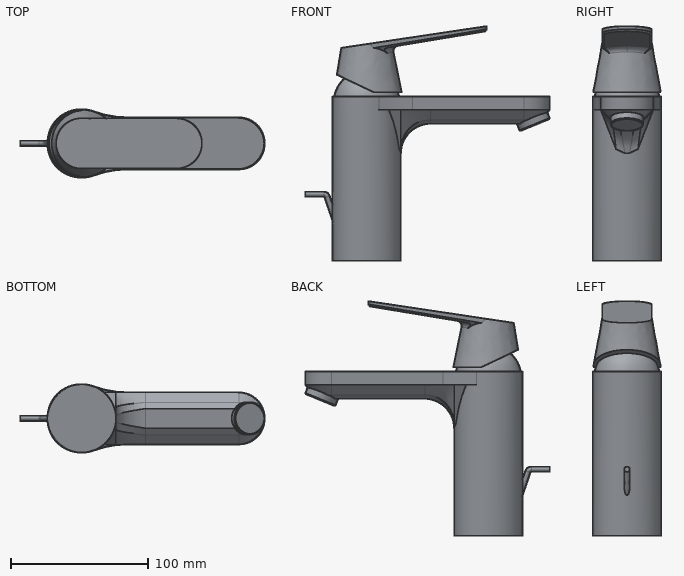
import cadquery as cq
import math


column_dia = 50.0
column_radius = column_dia / 2
column_height = 119.8
rim_chamfer = 0.5
dome_radius = 24.2
dome_center_z = 114.9

total_length = 178.0
rod_tip_x = -44.7
spout_tip_x = total_length + rod_tip_x
spout_half_width = 19.0
spout_end_x = spout_tip_x - spout_half_width
spout_edge_z = 109.9
shoulder_z = 102.8
shoulder_half_width = 12.0
keel_z = 99.7
keel_half_width = 7.1

flare_radius = 70.3
flare_center_y = spout_half_width + flare_radius
flare_center_x = math.sqrt((column_radius + flare_radius) ** 2 - flare_center_y ** 2)
flare_start_x = flare_center_x * column_radius / (column_radius + flare_radius)
flare_start_y = flare_center_y * column_radius / (column_radius + flare_radius)

throat_radius = 21.4
throat_center_x = column_radius + throat_radius
throat_center_z = keel_z - throat_radius
foot_keel_half_width = 1.8
foot_shoulder_half_width = 8.0
throat_steps = 6

aerator_dia = 23.9
aerator_tilt = 22.3
aerator_x = 122.5
aerator_z = 98.8
aerator_length = 10.7
aerator_edge = 0.7

total_height = 171.0
lever_half_width = 18.2
lever_rear_x = -0.5
lever_front_x = 69.5
lever_tip_x = lever_front_x + lever_half_width
lever_slope = 8.5
lever_thickness = 5.2
lever_tip_thickness = 3.7
lever_bevel = 1.5
hub_bottom_z = 122.7
hub_bottom_radius = 24.8
hub_bottom_x = 0.9
hub_top_z = 158.5
hub_top_x = 0.2
hub_top_radius = 18.2
hub_fillet = 3.5
skirt_start_x = 5.3
skirt_slope = 25.3

rod_dia = 4.0
rod_z = 48.5
rod_corner_x = -29.4
rod_bend_radius = 2.5
rod_lean = 18.9
rod_end_z = 25.0


def spout_plate():
    """Upright-sided upper part of the spout, flared tangentially out of the column."""
    flare_mid_x = (flare_start_x + flare_center_x) / 2
    flare_mid_y = flare_center_y - math.sqrt(flare_radius ** 2 - (flare_mid_x - flare_center_x) ** 2)
    return (
        cq.Workplane("XY", origin=(0, 0, spout_edge_z))
        .moveTo(flare_start_x, flare_start_y)
        .threePointArc((flare_mid_x, flare_mid_y), (flare_center_x, spout_half_width))
        .lineTo(spout_end_x, spout_half_width)
        .threePointArc((spout_tip_x, 0), (spout_end_x, -spout_half_width))
        .lineTo(flare_center_x, -spout_half_width)
        .threePointArc((flare_mid_x, -flare_mid_y), (flare_start_x, -flare_start_y))
        .close()
        .extrude(column_height - spout_edge_z)
    )


def underside_section(x, bottom_z, growth):
    """Closed cross-section of the underside at x; growth runs from 0 at the column to 1 at the spout."""
    shoulder = foot_shoulder_half_width + growth * (shoulder_half_width - foot_shoulder_half_width)
    keel = foot_keel_half_width + growth * (keel_half_width - foot_keel_half_width)
    shoulder_height = bottom_z + shoulder_z - keel_z
    corners = [
        (spout_half_width, spout_edge_z),
        (shoulder, shoulder_height),
        (keel, bottom_z),
        (-keel, bottom_z),
        (-shoulder, shoulder_height),
        (-spout_half_width, spout_edge_z),
    ]
    return cq.Workplane("YZ", origin=(x, 0, 0)).polyline(corners).close()


def spout_underside():
    """Tapered underside: root inside the column, throat, straight run and rounded end."""
    root_length = column_radius - flare_start_x
    root = underside_section(flare_start_x, throat_center_z, 0).extrude(root_length)
    sections = []
    for step in range(throat_steps + 1):
        growth = step / throat_steps
        angle = math.pi / 2 * growth
        x = throat_center_x - throat_radius * math.cos(angle)
        z = throat_center_z + throat_radius * math.sin(angle)
        sections.append(underside_section(x, z, growth).wire().val())
    throat = cq.Workplane(cq.Solid.makeLoft(sections))
    run = underside_section(throat_center_x, keel_z, 1).extrude(spout_end_x - throat_center_x)
    end = (
        cq.Workplane("XZ", origin=(spout_end_x, 0, 0))
        .polyline([
            (0, spout_edge_z),
            (spout_half_width, spout_edge_z),
            (shoulder_half_width, shoulder_z),
            (keel_half_width, keel_z),
            (0, keel_z),
        ])
        .close()
        .revolve(360, (0, 0), (0, 1))
    )
    return root.union(throat).union(run).union(end)


def aerator():
    """Tilted outlet ring, built upwards from its lower face into the spout."""
    tilt = math.radians(aerator_tilt)
    face = cq.Plane(
        origin=(aerator_x, 0, aerator_z),
        xDir=(math.cos(tilt), 0, math.sin(tilt)),
        normal=(-math.sin(tilt), 0, math.cos(tilt)),
    )
    ring = cq.Workplane(face).circle(aerator_dia / 2).extrude(aerator_length)
    return ring.faces("<Z").chamfer(aerator_edge)


def dome():
    """Spherical seat for the handle, sunk into the column."""
    return cq.Workplane("XY", origin=(0, 0, dome_center_z)).sphere(dome_radius)


def make_faucet_body(rod):
    """Column, spout, aerator and dome in one solid, with a hole that fits the rod."""
    column = cq.Workplane("XY").circle(column_radius).extrude(column_height)
    body = column.union(spout_plate()).faces(">Z").chamfer(rim_chamfer)
    body = body.union(spout_underside()).union(aerator()).union(dome())
    return body.cut(rod).solids()


def lever_top_z(x):
    """Height of the sloping top plane of the handle."""
    return total_height - (lever_tip_x - x) * math.tan(math.radians(lever_slope))


def lever():
    """Sloping paddle with a rounded front end and a bevelled lower edge."""
    rear_z = lever_top_z(lever_rear_x)
    side = (
        cq.Workplane("XZ")
        .polyline([
            (lever_rear_x, rear_z),
            (lever_tip_x, total_height),
            (lever_tip_x, total_height - lever_tip_thickness),
            (lever_rear_x, rear_z - lever_thickness),
        ])
        .close()
        .extrude(2 * lever_half_width, both=True)
    )
    outline = (
        cq.Workplane("XY")
        .moveTo(lever_rear_x, lever_half_width)
        .lineTo(lever_front_x, lever_half_width)
        .threePointArc((lever_tip_x, 0), (lever_front_x, -lever_half_width))
        .lineTo(lever_rear_x, -lever_half_width)
        .close()
        .extrude(total_height)
    )
    paddle = side.intersect(outline)
    underside = cq.selectors.NearestToPointSelector((lever_front_x / 2, 0, rear_z))
    return paddle.faces(underside).edges("not <X").chamfer(lever_bevel)


def hub():
    """Tapered hub, cut level with the lever top and sloped along its lower rim."""
    cone = (
        cq.Workplane("XY", origin=(hub_bottom_x, 0, hub_bottom_z))
        .circle(hub_bottom_radius)
        .workplane(offset=hub_top_z - hub_bottom_z)
        .center(hub_top_x - hub_bottom_x, 0)
        .circle(hub_top_radius)
        .loft()
    )
    reach = 2 * hub_bottom_radius
    rise = reach * math.tan(math.radians(skirt_slope))
    below = (
        cq.Workplane("XZ")
        .polyline([
            (skirt_start_x, hub_bottom_z),
            (skirt_start_x - reach, hub_bottom_z + rise),
            (skirt_start_x - reach, hub_bottom_z),
        ])
        .close()
        .extrude(reach, both=True)
    )
    above = (
        cq.Workplane("XZ")
        .polyline([
            (-reach, lever_top_z(-reach)),
            (lever_tip_x, total_height),
            (-reach, total_height),
        ])
        .close()
        .extrude(reach, both=True)
    )
    return cone.cut(below).cut(above)


def make_handle():
    """Hub and lever, blended at the front and hollowed to fit over the dome."""
    blank = hub().union(lever())
    corner = (hub_top_x + hub_top_radius, 0, lever_top_z(hub_top_radius) - lever_thickness)
    blank = blank.edges(cq.selectors.NearestToPointSelector(corner)).fillet(hub_fillet)
    return blank.cut(dome()).solids()


def make_rod():
    """Bent rod: level grip, small bend and a leaning leg that enters the column."""
    lean = math.radians(rod_lean)
    turn = math.pi / 2 - lean
    tangent = rod_bend_radius * math.tan(turn / 2)
    bend_start = (rod_corner_x - tangent, rod_z)
    bend_mid = (
        bend_start[0] + rod_bend_radius * math.sin(turn / 2),
        rod_z - rod_bend_radius * (1 - math.cos(turn / 2)),
    )
    bend_end = (rod_corner_x + tangent * math.sin(lean), rod_z - tangent * math.cos(lean))
    leg_end = (rod_corner_x + (rod_z - rod_end_z) * math.tan(lean), rod_end_z)
    path = (
        cq.Workplane("XZ")
        .moveTo(rod_tip_x, rod_z)
        .lineTo(*bend_start)
        .threePointArc(bend_mid, bend_end)
        .lineTo(*leg_end)
    )
    return cq.Workplane("YZ", origin=(rod_tip_x, 0, rod_z)).circle(rod_dia / 2).sweep(path)


pop_up_rod = make_rod()
faucet_body = make_faucet_body(pop_up_rod)
handle = make_handle()

result = cq.Compound.makeCompound([faucet_body.val(), handle.val(), pop_up_rod.val()])